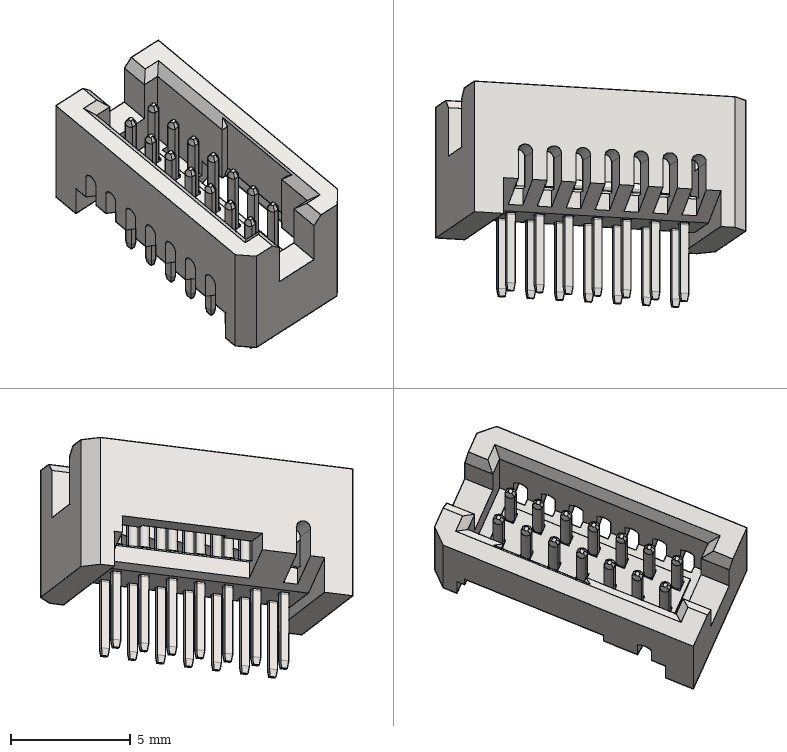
import cadquery as cq
import math

length = 12.07
width = 5.72
height = 5.6
overall_height = 8.41
corner_x = 0.65
corner_y = 0.6

cavity_half_x = 4.75
cavity_half_y = 1.7
floor_top = 1.42
lead_in = 0.39

notch_half_y = 0.97
notch_bottom = 3.14

pad_length = 8.42
pad_width = 2.15
pad_top = 1.6

gap_half_x = cavity_half_x
gap_flat_half_y = 1.05
gap_middle_z = 0.51
gap_edge_z = 1.53

key_left = -0.65
key_right = 3.14
key_depth_y = 2.0
ledge_top = 2.67
ledge_slope = 2.0
lip_nose_y = 1.87
lip_radius = 0.1

slot_width = 0.63
slot_top = 3.03
slot_inner_y = 1.41
window_left = -1.93
window_right = 4.4
window_top = 2.26

columns = 7
rows = 2
pitch = 1.27
pin_width = 0.43
pin_shoulder = 1.71
contact_half_y = 0.23
contact_radius = 0.247
contact_straight_top = 4.74
contact_tip = 5.0
tip_inset = 0.13
tail_x = 0.36
tail_y = 0.25
tail_top = 0.43
neck_radius = 0.12
tail_end = height - overall_height
point_length = 0.31
point_x = 0.27
point_y = 0.17

pin_columns = [(i - (columns - 1) / 2) * pitch for i in range(columns)]
pin_rows = [(j - (rows - 1) / 2) * pitch for j in range(rows)]


def block(x0, x1, y0, y1, z0, z1):
    """Box between two opposite corners."""
    return cq.Workplane("XY").box(x1 - x0, y1 - y0, z1 - z0, centered=False).translate((x0, y0, z0))


def tapered(x_bottom, y_bottom, x_top, y_top, z0, z1):
    """Rectangular frustum centred on the Z axis."""
    return (
        cq.Workplane("XY", origin=(0, 0, z0))
        .rect(x_bottom, y_bottom)
        .workplane(offset=z1 - z0)
        .rect(x_top, y_top)
        .loft(ruled=True)
    )


def shell():
    """Outer block with the two +X corners cut off."""
    half_x, half_y = length / 2, width / 2
    outline = [
        (-half_x, -half_y),
        (half_x - corner_x, -half_y),
        (half_x, -half_y + corner_y),
        (half_x, half_y - corner_y),
        (half_x - corner_x, half_y),
        (-half_x, half_y),
    ]
    return cq.Workplane("XY").polyline(outline).close().extrude(height)


def cavity():
    """Plug cavity with its chamfered mouth."""
    pocket = block(-cavity_half_x, cavity_half_x, -cavity_half_y, cavity_half_y, floor_top, height)
    mouth = tapered(
        2 * cavity_half_x,
        2 * cavity_half_y,
        2 * (cavity_half_x + lead_in),
        2 * (cavity_half_y + lead_in),
        height - lead_in,
        height,
    )
    return pocket.union(mouth)


def end_notches():
    """Chamfered notch running through both end walls."""
    profile = [
        (-notch_half_y, notch_bottom),
        (notch_half_y, notch_bottom),
        (notch_half_y, height - lead_in),
        (notch_half_y + lead_in, height),
        (-notch_half_y - lead_in, height),
        (-notch_half_y, height - lead_in),
    ]
    return cq.Workplane("YZ").polyline(profile).close().extrude(length / 2, both=True)


def underside_gap():
    """Space under the floor: flat in the middle, sloping up to the front and back faces."""
    half_y = width / 2
    profile = [
        (-half_y, 0),
        (-half_y, gap_edge_z),
        (-gap_flat_half_y, gap_middle_z),
        (gap_flat_half_y, gap_middle_z),
        (half_y, gap_edge_z),
        (half_y, 0),
    ]
    return cq.Workplane("YZ").polyline(profile).close().extrude(gap_half_x, both=True)


def keyway():
    """Recess in the back wall: flared at the top, with a sloped, rounded ledge at the bottom."""
    slope_angle = math.atan(ledge_slope)
    lip_y = lip_nose_y + lip_radius
    lip_z = window_top + lip_radius
    tangent_y = lip_y - lip_radius * math.sin(slope_angle)
    tangent_z = lip_z + lip_radius * math.cos(slope_angle)
    ledge_y = tangent_y + (ledge_top - tangent_z) / ledge_slope
    depth_profile = (
        cq.Workplane("YZ", origin=(key_left - lead_in, 0, 0))
        .moveTo(0, window_top)
        .lineTo(lip_y, window_top)
        .threePointArc((lip_nose_y, lip_z), (tangent_y, tangent_z))
        .lineTo(ledge_y, ledge_top)
        .lineTo(key_depth_y, ledge_top)
        .lineTo(key_depth_y, height)
        .lineTo(0, height)
        .close()
        .extrude(key_right - key_left + 2 * lead_in)
    )
    flare_bottom = height - lead_in
    span = [
        (key_left, window_top),
        (key_right, window_top),
        (key_right, flare_bottom),
        (key_right + lead_in, height),
        (key_left - lead_in, height),
        (key_left, flare_bottom),
    ]
    span_profile = cq.Workplane("XZ").polyline(span).close().extrude(-width / 2)
    return depth_profile.intersect(span_profile)


def arched_slot(x, side):
    """Round-topped slot through the front (side -1) or back (side +1) wall."""
    spring = slot_top - slot_width / 2
    return (
        cq.Workplane("XZ", origin=(x, side * slot_inner_y, 0))
        .moveTo(-slot_width / 2, 0)
        .lineTo(-slot_width / 2, spring)
        .threePointArc((0, slot_top), (slot_width / 2, spring))
        .lineTo(slot_width / 2, 0)
        .close()
        .extrude(-side * (width / 2 - slot_inner_y))
    )


def neck_profile(plane, tail_width):
    """Slab whose two sides flare upward in concave arcs from the tail to the square part."""
    narrow, wide = tail_width / 2, pin_width / 2
    full_angle = math.acos(1 - (wide - narrow) / neck_radius)

    def flare(angle):
        return narrow + neck_radius * (1 - math.cos(angle)), tail_top + neck_radius * math.sin(angle)

    middle, end = flare(full_angle / 2), flare(full_angle)
    neck_top = tail_top + neck_radius
    return (
        cq.Workplane(plane)
        .moveTo(-narrow, tail_top)
        .lineTo(narrow, tail_top)
        .threePointArc(middle, end)
        .lineTo(wide, neck_top)
        .lineTo(-wide, neck_top)
        .lineTo(-wide, end[1])
        .threePointArc((-middle[0], middle[1]), (-narrow, tail_top))
        .close()
        .extrude(wide, both=True)
    )


def pin():
    """One pin on the Z axis: pointed tail, flared neck, square body and rounded contact."""
    half = pin_width / 2
    arc_edge = contact_half_y - (contact_radius - math.sqrt(contact_radius**2 - half**2))
    taper = math.degrees(math.atan(tip_inset / (contact_tip - contact_straight_top)))

    def contact_section(z):
        return (
            cq.Workplane("XY", origin=(0, 0, z))
            .moveTo(-half, -arc_edge)
            .threePointArc((0, -contact_half_y), (half, -arc_edge))
            .lineTo(half, arc_edge)
            .threePointArc((0, contact_half_y), (-half, arc_edge))
            .close()
        )

    point_top = tail_end + point_length
    point = tapered(point_x, point_y, tail_x, tail_y, tail_end, point_top)
    tail = tapered(tail_x, tail_y, tail_x, tail_y, point_top, tail_top)
    neck = neck_profile("XZ", tail_x).intersect(neck_profile("YZ", tail_y))
    body = tapered(pin_width, pin_width, pin_width, pin_width, tail_top + neck_radius, pin_shoulder)
    contact = contact_section(pin_shoulder).extrude(contact_straight_top - pin_shoulder)
    tip = contact_section(contact_straight_top).extrude(contact_tip - contact_straight_top, taper=taper)
    return point.union(tail).union(neck).union(body).union(contact).union(tip)


pad = block(-pad_length / 2, pad_length / 2, -pad_width / 2, pad_width / 2, floor_top, pad_top)
window = block(window_left, window_right, slot_inner_y, width / 2, 0, window_top)

result = shell().cut(cavity()).cut(end_notches()).cut(underside_gap()).cut(keyway()).cut(window)
for x in pin_columns:
    result = result.cut(arched_slot(x, -1))
result = result.cut(arched_slot(pin_columns[0], 1))

result = result.union(pad)
contact_pin = pin()
for x in pin_columns:
    for y in pin_rows:
        result = result.union(contact_pin.translate((x, y, 0)))